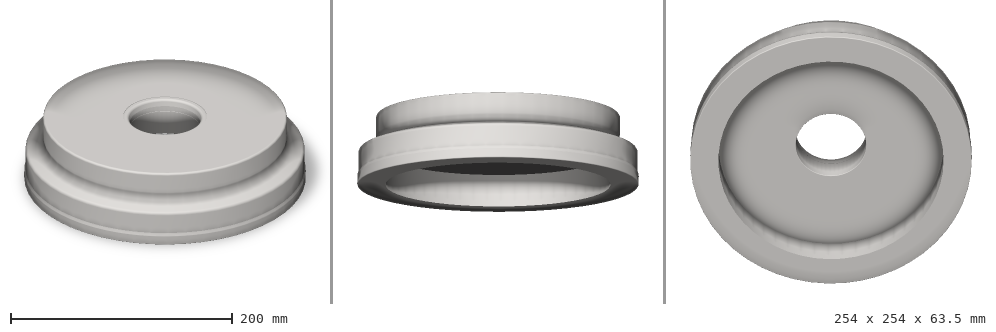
import cadquery as cq
import math

flange_radius = 127.0
height = 63.5

flange_top = 8.6
flange_top_fillet = 2.0
flange_foot_fillet = 0.8
flange_slope_top = 11.5
drum_radius = 126.0

shoulder_angle = math.radians(19)
shoulder_inner_radius = 113.8
shoulder_inner_z = 35.8
shoulder_rim_fillet = 3.0

neck_arc_radius = 6.0
undercut_angle = math.radians(13.5)

crown_fillet = 2.0

bore_radius = 31.8
bore_edge_fillet = 0.5
cavity_radius = 101.5
cavity_depth = 29.0

ring_outer_radius = 37.5
ring_recess = 0.5
ring_top = height - ring_recess
ring_bottom = height - 11.7
ring_mouth_radius = 35.0
ring_mouth_fillet = 2.5
ring_taper_bottom = height - 6.5
ring_taper_angle = math.radians(5)

edge_tolerance = 0.13


def on_arc(center, radius, angle):
    """Point on a circle in the radius-height plane."""
    return (center[0] + radius * math.cos(angle), center[1] + radius * math.sin(angle))


def fillet_ring_edge(body, edge_radius, edge_z, fillet_radius):
    """Round the circular edge of the given radius and height."""
    reach = edge_radius + edge_tolerance
    low = (-reach, -reach, edge_z - edge_tolerance)
    high = (reach, reach, edge_z + edge_tolerance)
    level_edges = body.edges(cq.selectors.BoxSelector(low, high, boundingbox=True)).edges("%CIRCLE")
    wanted = level_edges.filter(lambda edge: abs(edge.radius() - edge_radius) < edge_tolerance)
    return wanted.fillet(fillet_radius)


def make_drum():
    rim_center_r = drum_radius - shoulder_rim_fillet
    slope_normal = math.pi / 2 - shoulder_angle
    rim_end_r = rim_center_r + shoulder_rim_fillet * math.cos(slope_normal)
    rim_end_z = shoulder_inner_z - (rim_end_r - shoulder_inner_radius) * math.tan(shoulder_angle)
    rim_center = (rim_center_r, rim_end_z - shoulder_rim_fillet * math.sin(slope_normal))

    neck_center = on_arc((shoulder_inner_radius, shoulder_inner_z), neck_arc_radius, slope_normal)
    neck_top = on_arc(neck_center, neck_arc_radius, math.pi - undercut_angle)
    neck_waist = on_arc(neck_center, neck_arc_radius, math.pi)

    lip_center = on_arc(neck_center, 2 * neck_arc_radius, math.pi - undercut_angle)
    lip_middle = on_arc(lip_center, neck_arc_radius, -undercut_angle / 2)
    lip_top = on_arc(lip_center, neck_arc_radius, 0)

    crown_radius = lip_top[0]
    crown_center = (crown_radius - crown_fillet, height - crown_fillet)

    profile = (
        cq.Workplane("XZ")
        .moveTo(cavity_radius, 0)
        .lineTo(flange_radius, 0)
        .lineTo(flange_radius, flange_top)
        .lineTo(drum_radius, flange_slope_top)
        .lineTo(drum_radius, rim_center[1])
        .threePointArc(on_arc(rim_center, shoulder_rim_fillet, slope_normal / 2), (rim_end_r, rim_end_z))
        .lineTo(shoulder_inner_radius, shoulder_inner_z)
        .threePointArc(neck_waist, neck_top)
        .threePointArc(lip_middle, lip_top)
        .lineTo(crown_radius, crown_center[1])
        .threePointArc(on_arc(crown_center, crown_fillet, math.pi / 4), (crown_center[0], height))
        .lineTo(ring_outer_radius, height)
        .lineTo(ring_outer_radius, ring_bottom)
        .lineTo(bore_radius, ring_bottom)
        .lineTo(bore_radius, cavity_depth)
        .lineTo(cavity_radius, cavity_depth)
        .close()
    )
    drum = profile.revolve(360, (0, 0, 0), (0, 1, 0))
    drum = fillet_ring_edge(drum, flange_radius, flange_top, flange_top_fillet)
    drum = fillet_ring_edge(drum, flange_radius, 0, flange_foot_fillet)
    drum = fillet_ring_edge(drum, bore_radius, ring_bottom, bore_edge_fillet)
    return fillet_ring_edge(drum, bore_radius, cavity_depth, bore_edge_fillet)


def make_ring():
    mouth_center = (ring_mouth_radius, ring_top - ring_mouth_fillet)
    taper_normal = math.pi - ring_taper_angle
    taper_top = on_arc(mouth_center, ring_mouth_fillet, taper_normal)
    mouth_middle = on_arc(mouth_center, ring_mouth_fillet, (math.pi / 2 + taper_normal) / 2)

    profile = (
        cq.Workplane("XZ")
        .moveTo(bore_radius, ring_bottom)
        .lineTo(ring_outer_radius, ring_bottom)
        .lineTo(ring_outer_radius, ring_top)
        .lineTo(ring_mouth_radius, ring_top)
        .threePointArc(mouth_middle, taper_top)
        .lineTo(bore_radius, ring_taper_bottom)
        .close()
    )
    return profile.revolve(360, (0, 0, 0), (0, 1, 0))


drum = make_drum()
ring = make_ring()

result = cq.Compound.makeCompound([drum.val(), ring.val()])